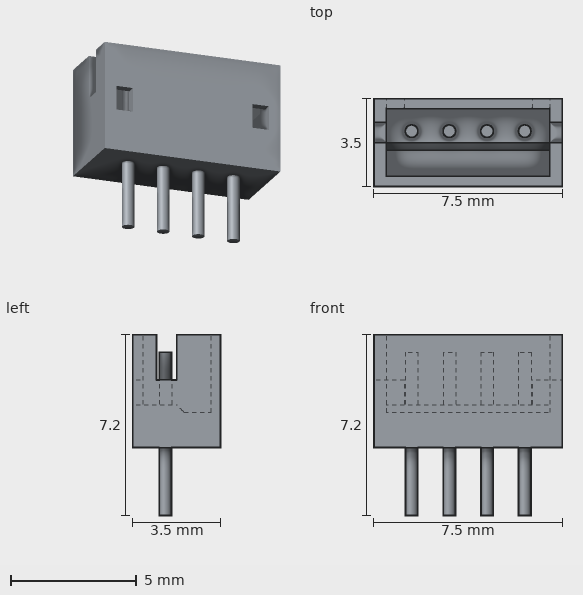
import cadquery as cq

housing_length = 7.5
housing_width = 3.5
housing_height = 4.5
end_wall = 0.5
side_wall = 0.4

rear_floor_height = 1.7
ramp_drop = 0.3
ramp_rear_y = 0.0

slot_width = 0.8
slot_depth = 1.8
slot_rear_margin = 0.95

window_width = 0.7
window_height = 1.0

pin_count = 4
pin_pitch = 1.5
pin_diameter = 0.5
pin_top = 3.8
pin_tail = 2.7
pin_rear_margin = 1.3

front_floor_height = rear_floor_height - ramp_drop
cavity_length = housing_length - 2 * end_wall
cavity_half_width = housing_width / 2 - side_wall


def box_between(x_min, x_max, y_min, y_max, z_min, z_max):
    """Box spanning the given limits along each axis."""
    size = (x_max - x_min, y_max - y_min, z_max - z_min)
    return cq.Workplane("XY").box(*size, centered=False).translate((x_min, y_min, z_min))


def make_cavity():
    """Open-topped cavity with the ramped floor, as a YZ profile extruded along X."""
    return (
        cq.Workplane("YZ")
        .moveTo(-cavity_half_width, housing_height)
        .lineTo(-cavity_half_width, front_floor_height)
        .lineTo(ramp_rear_y - ramp_drop, front_floor_height)
        .lineTo(ramp_rear_y, rear_floor_height)
        .lineTo(cavity_half_width, rear_floor_height)
        .lineTo(cavity_half_width, housing_height)
        .close()
        .extrude(cavity_length / 2, both=True)
    )


def make_end_slots():
    """Cutter running the whole length, which notches both end walls."""
    slot_rear_y = housing_width / 2 - slot_rear_margin
    return box_between(
        -housing_length / 2, housing_length / 2,
        slot_rear_y - slot_width, slot_rear_y,
        housing_height - slot_depth, housing_height,
    )


def make_window(side):
    """Rear wall window flush with the rear floor; side is -1 or 1 along X."""
    outer_x = side * cavity_length / 2
    inner_x = outer_x - side * window_width
    return box_between(
        min(inner_x, outer_x), max(inner_x, outer_x),
        cavity_half_width, housing_width / 2,
        rear_floor_height, rear_floor_height + window_height,
    )


def make_pin(x):
    """Round pin standing through the floor at position x."""
    pin_y = housing_width / 2 - pin_rear_margin
    return (
        cq.Workplane("XY", origin=(x, pin_y, -pin_tail))
        .circle(pin_diameter / 2)
        .extrude(pin_tail + pin_top)
    )


housing = cq.Workplane("XY").box(
    housing_length, housing_width, housing_height, centered=(True, True, False)
)
housing = housing.cut(make_cavity()).cut(make_end_slots())
for side in (-1, 1):
    housing = housing.cut(make_window(side))

result = housing
first_pin_x = -pin_pitch * (pin_count - 1) / 2
for index in range(pin_count):
    result = result.union(make_pin(first_pin_x + index * pin_pitch))